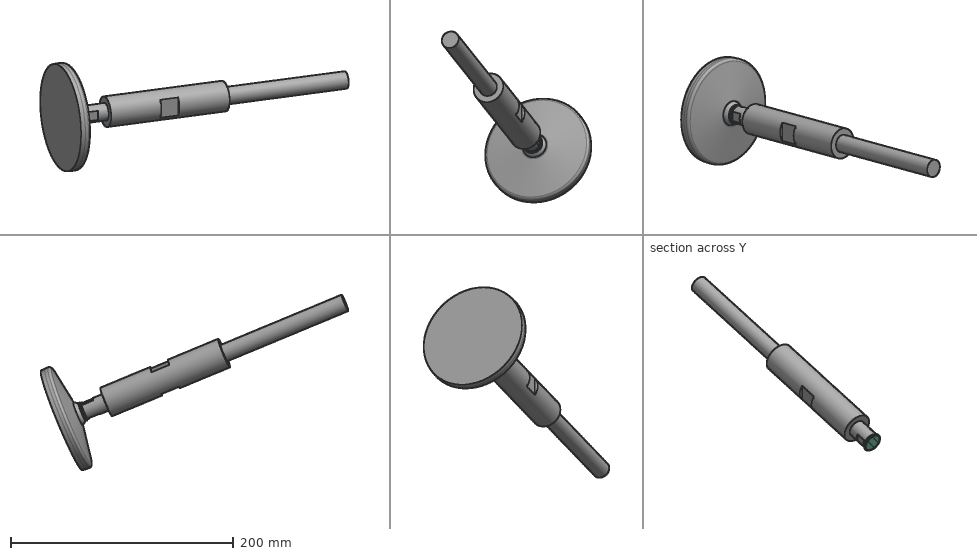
import cadquery as cq
import math

total_length = 277.0

foot_diameter = 98.0
foot_radius = foot_diameter / 2
foot_base_radius = 48.8
rim_taper_top = 4.0
rim_top = 7.0
cone_edge_level = 9.1
hub_radius = 12.2
hub_level = 15.8

spindle_diameter = 16.0
spindle_radius = spindle_diameter / 2
dome_base_radius = 11.0
dome_bulge = 0.5
dome_top = 19.7
collar_radius = 9.0
collar_bottom = 20.5
collar_top = 21.3
groove_radius = 7.2
groove_top = 22.2
spindle_flat_bottom = 23.5
spindle_flat_top = 33.5
spindle_flat_width = 13.5

sleeve_diameter = 28.0
sleeve_bottom = 43.5
sleeve_top = 158.7
sleeve_flat_length = 17.5
sleeve_flat_width = 22.2


def revolve_about_y(profile):
    """Turn a closed (radius, Y) profile a full turn about the Y axis."""
    return profile.close().revolve(360, (0, 0, 0), (0, 1, 0))


def cut_wrench_flats(body, diameter, width, bottom, top):
    """Cut two opposite flats, facing -X and +X, between two heights."""
    length = top - bottom
    for side in (-1, 1):
        cutter_center = side * (width + diameter) / 2
        cutter = cq.Workplane("XY").box(diameter, length, diameter)
        body = body.cut(cutter.translate((cutter_center, (bottom + top) / 2, 0)))
    return body


def make_foot():
    """Shallow cone with a rounded shoulder and a slightly tapered rim."""
    cone_angle = math.atan2(hub_level - cone_edge_level, foot_radius - hub_radius)
    tangent_length = cone_edge_level - rim_top
    shoulder_end = (
        foot_radius - tangent_length * math.cos(cone_angle),
        cone_edge_level + tangent_length * math.sin(cone_angle),
    )
    profile = (
        cq.Workplane("XY")
        .lineTo(foot_base_radius, 0)
        .lineTo(foot_radius, rim_taper_top)
        .lineTo(foot_radius, rim_top)
        .tangentArcPoint(shoulder_end, relative=False)
        .lineTo(hub_radius, hub_level)
        .lineTo(0, hub_level)
    )
    return revolve_about_y(profile)


def make_spindle():
    """Plain rod with a domed foot, a thin collar, a groove and wrench flats."""
    dome_run = dome_base_radius - spindle_radius
    dome_rise = dome_top - hub_level
    dome_slant = math.hypot(dome_run, dome_rise)
    dome_middle = (
        (dome_base_radius + spindle_radius) / 2 + dome_bulge * dome_rise / dome_slant,
        (hub_level + dome_top) / 2 + dome_bulge * dome_run / dome_slant,
    )
    profile = (
        cq.Workplane("XY")
        .moveTo(0, hub_level)
        .lineTo(dome_base_radius, hub_level)
        .threePointArc(dome_middle, (spindle_radius, dome_top))
        .lineTo(spindle_radius, collar_bottom)
        .lineTo(collar_radius, collar_bottom)
        .lineTo(collar_radius, collar_top)
        .lineTo(groove_radius, collar_top)
        .lineTo(groove_radius, groove_top)
        .lineTo(spindle_radius, groove_top)
        .lineTo(spindle_radius, total_length)
        .lineTo(0, total_length)
    )
    return cut_wrench_flats(
        revolve_about_y(profile),
        spindle_diameter,
        spindle_flat_width,
        spindle_flat_bottom,
        spindle_flat_top,
    )


def make_sleeve():
    """Tube that fits the spindle, with wrench flats at mid-length."""
    sleeve_length = sleeve_top - sleeve_bottom
    flat_bottom = (sleeve_bottom + sleeve_top - sleeve_flat_length) / 2
    tube = (
        cq.Workplane("XZ", origin=(0, sleeve_bottom, 0))
        .circle(sleeve_diameter / 2)
        .circle(spindle_radius)
        .extrude(-sleeve_length)
    )
    return cut_wrench_flats(
        tube, sleeve_diameter, sleeve_flat_width, flat_bottom, flat_bottom + sleeve_flat_length
    )


foot = make_foot()
spindle = make_spindle()
sleeve = make_sleeve()

result = cq.Compound.makeCompound([foot.val(), spindle.val(), sleeve.val()])